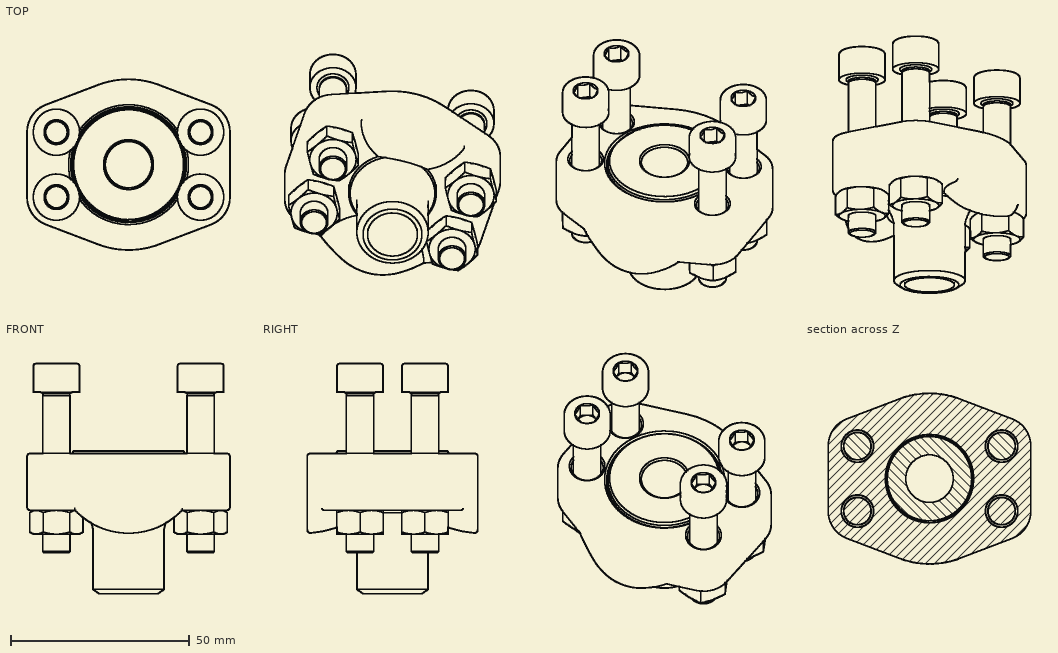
import cadquery as cq
import math

CORNERS_PER_FLATS = 2 / math.sqrt(3)

FLANGE_TOP = 39.4
FLANGE_THICKNESS = 16.0
FLANGE_BOTTOM = FLANGE_TOP - FLANGE_THICKNESS
NIPPLE_TOP = 40.1
SCREW_TOP = 64.6

SCREW_X = 20.2
SCREW_Y = 9.1
SCREW_POSITIONS = [(sx * SCREW_X, sy * SCREW_Y) for sx in (-1, 1) for sy in (-1, 1)]

FLANGE_LENGTH = 57.0
FLANGE_WIDTH = 47.95
LOBE_R = FLANGE_WIDTH / 2
CORNER_R = FLANGE_LENGTH / 2 - SCREW_X
EDGE_FILLET = 1.0
BORE_DIA = 24.7
RECESS_DIA = 32.5
RECESS_DEPTH = 6.45
RECESS_FLOOR = FLANGE_TOP - RECESS_DEPTH
RECESS_CHAMFER = 0.6
SCREW_HOLE_DIA = 9.0
SCREW_HOLE_CHAMFER = 0.5

PAD_BOTTOM = 17.0
PAD_SPHERE_R = 22.6
PAD_ROOT_DEPTH = 3.9
PAD_ROOT_Z = FLANGE_BOTTOM + PAD_ROOT_DEPTH

COLLAR_DIA = 31.7
COLLAR_CHAMFER_RADIAL = 0.45
COLLAR_CHAMFER_HEIGHT = 0.8
HUB_DIA = 23.8
TUBE_DIA = 20.0
FLARE_R = 12.0
FLARE_BOTTOM = 18.15
FLARE_TOP = 22.75
WELD_BEVEL_RADIAL = 1.75
WELD_BEVEL_HEIGHT = 1.2
MOUTH_DIA = 14.0
THROAT_DIA = 13.0
MOUTH_CHAMFER = (MOUTH_DIA - THROAT_DIA) / 2
THROAT_DEPTH = 3.95

SHANK_DIA = 7.75
NECK_DIA = 7.6
NECK_LENGTH = 1.0
SHANK_LENGTH = 45.0
SHANK_CHAMFER = 0.4
HEAD_DIA = 13.0
HEAD_HEIGHT = 8.0
HEAD_FILLET = 0.8
UNDERHEAD_DIA = 9.0
UNDERHEAD_HEIGHT = 0.45
SOCKET_FLATS = 6.0
SOCKET_CORNERS = SOCKET_FLATS * CORNERS_PER_FLATS
SOCKET_DEPTH = 5.0
SOCKET_TURN = 39
SOCKET_TIP_ANGLE = 30
SOCKET_TIP_HEIGHT = SOCKET_FLATS / 2 * math.tan(math.radians(SOCKET_TIP_ANGLE))

NUT_FLATS = 13.0
NUT_CORNERS = NUT_FLATS * CORNERS_PER_FLATS
NUT_HEIGHT = 6.65
NUT_CHAMFER_ANGLE = 30


def revolve_about_z(points):
    """Solid of revolution from (radius, height) points."""
    return cq.Workplane("XZ").polyline(points).close().revolve(360, (0, 0), (0, 1))


def flange_prism(bottom, top):
    """Prism of the flange outline: a central lobe arc, straight flanks and screw-centred corners."""
    centre_distance = math.hypot(SCREW_X, SCREW_Y)
    flank_normal = math.atan2(SCREW_Y, SCREW_X) + math.acos((LOBE_R - CORNER_R) / centre_distance)
    nx = math.cos(flank_normal)
    ny = math.sin(flank_normal)
    lobe_x = LOBE_R * nx
    lobe_y = LOBE_R * ny
    corner_x = SCREW_X + CORNER_R * nx
    corner_y = SCREW_Y + CORNER_R * ny
    side_x = FLANGE_LENGTH / 2
    corner_middle = flank_normal / 2
    mid_x = SCREW_X + CORNER_R * math.cos(corner_middle)
    mid_y = SCREW_Y + CORNER_R * math.sin(corner_middle)
    return (
        cq.Workplane("XY", origin=(0, 0, bottom))
        .moveTo(-lobe_x, lobe_y)
        .threePointArc((0, LOBE_R), (lobe_x, lobe_y))
        .lineTo(corner_x, corner_y)
        .threePointArc((mid_x, mid_y), (side_x, SCREW_Y))
        .lineTo(side_x, -SCREW_Y)
        .threePointArc((mid_x, -mid_y), (corner_x, -corner_y))
        .lineTo(lobe_x, -lobe_y)
        .threePointArc((0, -LOBE_R), (-lobe_x, -lobe_y))
        .lineTo(-corner_x, -corner_y)
        .threePointArc((-mid_x, -mid_y), (-side_x, -SCREW_Y))
        .lineTo(-side_x, SCREW_Y)
        .threePointArc((-mid_x, mid_y), (-corner_x, corner_y))
        .close()
        .extrude(top - bottom)
    )


def flange_pad(side):
    """Spherical pad below one lobe, with its outer edge rounded; side is -1 or 1 along Y."""
    sphere_centre = (0, side * LOBE_R, PAD_BOTTOM + PAD_SPHERE_R)
    sphere = cq.Workplane("XZ", origin=sphere_centre).sphere(PAD_SPHERE_R)
    pad = flange_prism(0, PAD_ROOT_Z).intersect(sphere)
    lower_edges = pad.edges("%BSPLINE or %CIRCLE").edges("not >Z")
    return lower_edges.fillet(EDGE_FILLET)


def flange_bore():
    """Cutter for the stepped central bore, with a chamfered recess mouth."""
    bore_r = BORE_DIA / 2
    recess_r = RECESS_DIA / 2
    return revolve_about_z([
        (0, 0),
        (bore_r, 0),
        (bore_r, RECESS_FLOOR),
        (recess_r, RECESS_FLOOR),
        (recess_r, FLANGE_TOP - RECESS_CHAMFER),
        (recess_r + RECESS_CHAMFER, FLANGE_TOP),
        (0, FLANGE_TOP),
    ])


def flange_screw_hole(x, y):
    """Cutter for one through hole, chamfered at the top face."""
    hole_r = SCREW_HOLE_DIA / 2
    hole = revolve_about_z([
        (0, 0),
        (hole_r, 0),
        (hole_r, FLANGE_TOP - SCREW_HOLE_CHAMFER),
        (hole_r + SCREW_HOLE_CHAMFER, FLANGE_TOP),
        (0, FLANGE_TOP),
    ])
    return hole.translate((x, y, 0))


def make_flange():
    """Lobed clamp flange with two pads underneath, a stepped bore and four screw holes."""
    body = flange_prism(FLANGE_BOTTOM, FLANGE_TOP)
    body = body.faces("<Z or >Z").edges().fillet(EDGE_FILLET)
    for side in (-1, 1):
        body = body.union(flange_pad(side))
    body = body.cut(flange_bore())
    for x, y in SCREW_POSITIONS:
        body = body.cut(flange_screw_hole(x, y))
    return body


def make_nipple():
    """Weld nipple: collar seated in the flange recess, hub, concave neck and bevelled tube."""
    collar_r = COLLAR_DIA / 2
    hub_r = HUB_DIA / 2
    tube_r = TUBE_DIA / 2
    mouth_r = MOUTH_DIA / 2
    throat_r = THROAT_DIA / 2
    return (
        cq.Workplane("XZ")
        .moveTo(mouth_r, 0)
        .lineTo(tube_r - WELD_BEVEL_RADIAL, 0)
        .lineTo(tube_r, WELD_BEVEL_HEIGHT)
        .lineTo(tube_r, FLARE_BOTTOM)
        .radiusArc((hub_r, FLARE_TOP), FLARE_R)
        .lineTo(hub_r, RECESS_FLOOR)
        .lineTo(collar_r, RECESS_FLOOR)
        .lineTo(collar_r, NIPPLE_TOP - COLLAR_CHAMFER_HEIGHT)
        .lineTo(collar_r - COLLAR_CHAMFER_RADIAL, NIPPLE_TOP)
        .lineTo(mouth_r, NIPPLE_TOP)
        .lineTo(throat_r, NIPPLE_TOP - MOUTH_CHAMFER)
        .lineTo(throat_r, NIPPLE_TOP - THROAT_DEPTH)
        .close()
        .revolve(360, (0, 0), (0, 1))
    )


def hexagon_socket():
    """Cutter for the hexagon socket, with a conical floor and a chamfered mouth."""
    socket_floor = SCREW_TOP - SOCKET_DEPTH
    corner_r = SOCKET_CORNERS / 2
    socket = (
        cq.Workplane("XY", origin=(0, 0, socket_floor))
        .transformed(rotate=(0, 0, SOCKET_TURN))
        .polygon(6, SOCKET_CORNERS)
        .extrude(SOCKET_DEPTH)
    )
    drill_tip = revolve_about_z([
        (0, socket_floor - SOCKET_TIP_HEIGHT),
        (SOCKET_FLATS / 2, socket_floor),
        (0, socket_floor),
    ])
    chamfer = revolve_about_z([
        (0, SCREW_TOP - corner_r),
        (corner_r, SCREW_TOP),
        (0, SCREW_TOP),
    ])
    return socket.union(drill_tip).union(chamfer)


def make_screw(x, y):
    """Socket head cap screw, with its necked shank pointing down."""
    head_bottom = SCREW_TOP - HEAD_HEIGHT
    tip = head_bottom - SHANK_LENGTH
    shank_r = SHANK_DIA / 2
    neck_r = NECK_DIA / 2
    neck_end = head_bottom - NECK_LENGTH
    head_r = HEAD_DIA / 2
    fillet_middle = HEAD_FILLET * (1 - math.sqrt(0.5))
    body = (
        cq.Workplane("XZ")
        .moveTo(0, tip)
        .lineTo(shank_r - SHANK_CHAMFER, tip)
        .lineTo(shank_r, tip + SHANK_CHAMFER)
        .lineTo(shank_r, neck_end - (shank_r - neck_r))
        .lineTo(neck_r, neck_end)
        .lineTo(neck_r, head_bottom - UNDERHEAD_HEIGHT)
        .lineTo(UNDERHEAD_DIA / 2, head_bottom)
        .lineTo(head_r, head_bottom)
        .lineTo(head_r, SCREW_TOP - HEAD_FILLET)
        .threePointArc(
            (head_r - fillet_middle, SCREW_TOP - fillet_middle),
            (head_r - HEAD_FILLET, SCREW_TOP),
        )
        .lineTo(0, SCREW_TOP)
        .close()
        .revolve(360, (0, 0), (0, 1))
    )
    return body.cut(hexagon_socket()).translate((x, y, 0))


def make_nut(x, y):
    """Hexagon nut against the flange underside, with corners chamfered on both faces."""
    bottom = FLANGE_BOTTOM - NUT_HEIGHT
    corner_r = NUT_CORNERS / 2
    flat_r = NUT_FLATS / 2
    chamfer_height = (corner_r - flat_r) * math.tan(math.radians(NUT_CHAMFER_ANGLE))
    hexagon = cq.Workplane("XY", origin=(0, 0, bottom)).polygon(6, NUT_CORNERS).extrude(NUT_HEIGHT)
    envelope = revolve_about_z([
        (SHANK_DIA / 2, bottom),
        (flat_r, bottom),
        (corner_r, bottom + chamfer_height),
        (corner_r, FLANGE_BOTTOM - chamfer_height),
        (flat_r, FLANGE_BOTTOM),
        (SHANK_DIA / 2, FLANGE_BOTTOM),
    ])
    return hexagon.intersect(envelope).translate((x, y, 0))


flange = make_flange()
nipple = make_nipple()
screws = [make_screw(x, y) for x, y in SCREW_POSITIONS]
nuts = [make_nut(x, y) for x, y in SCREW_POSITIONS]

result = cq.Compound.makeCompound([
    flange.val(),
    nipple.val(),
    *[screw.val() for screw in screws],
    *[nut.val() for nut in nuts],
])